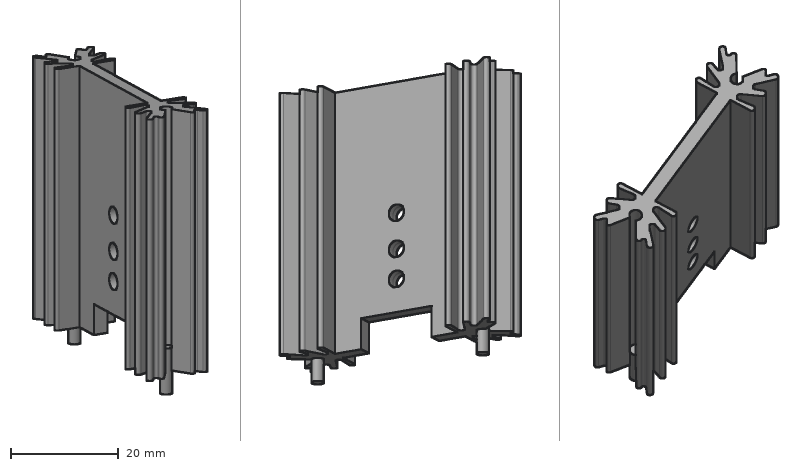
import cadquery as cq
import math

TOTAL_HEIGHT = 55.3
PIN_PROJECTION = 4.5
PIN_INSERTION = 4.5
SINK_HEIGHT = TOTAL_HEIGHT - PIN_PROJECTION
HALF_WIDTH = 22.45
HALF_DEPTH = 6.35

WEB_THICKNESS = 2.95
WEB_HALF_THICKNESS = WEB_THICKNESS / 2
WEB_HALF_LENGTH = 13.1
SCREW_HOLE_DIAMETER = 3.2
SCREW_HOLE_HEIGHTS = (12.5, 18.35, 25.4)
NOTCH_WIDTH = 15.05
NOTCH_HEIGHT = 6.05

PIN_DIAMETER = 2.3
PIN_X = 17.7

STRAIGHT_TIP_RADIUS = 0.58
TIP_RADIUS = 0.6
INNER_ROOT_RADIUS = 0.65
OUTER_ROOT_RADIUS = 0.6
FORK_ROOT_RADIUS = 0.45
LOBE_RADIUS = 0.525
TIP_Y = HALF_DEPTH - TIP_RADIUS

STRAIGHT_TIP = (WEB_HALF_LENGTH + STRAIGHT_TIP_RADIUS, HALF_DEPTH - STRAIGHT_TIP_RADIUS)
INNER_ROOT = (14.65, 2.7)
MIDDLE_TIP = (17.55, TIP_Y)
OUTER_ROOT = (18.15, 4.0)
OUTER_TIP = (HALF_WIDTH - TIP_RADIUS, TIP_Y)
FORK_ROOT = (21.7, 4.25)
LOBE = (21.75, 3.25)

ROUNDED_ENDS = [
    (STRAIGHT_TIP, STRAIGHT_TIP_RADIUS),
    (INNER_ROOT, -INNER_ROOT_RADIUS),
    (MIDDLE_TIP, TIP_RADIUS),
    (OUTER_ROOT, -OUTER_ROOT_RADIUS),
    (OUTER_TIP, TIP_RADIUS),
    (FORK_ROOT, -FORK_ROOT_RADIUS),
    (LOBE, LOBE_RADIUS),
]


def tangent_normal(start, end):
    """Angle of the left-hand normal of the straight wall tangent to two rounded ends."""
    (start_x, start_y), start_radius = start
    (end_x, end_y), end_radius = end
    dx = end_x - start_x
    dy = end_y - start_y
    return math.atan2(dy, dx) + math.acos((start_radius - end_radius) / math.hypot(dx, dy))


def point_on(center, radius, angle):
    return (center[0] + radius * math.cos(angle), center[1] + radius * math.sin(angle))


def sink_extrusion():
    """Finned bar: one quarter of the outline is drawn, then mirrored about both axes."""
    web_corner = (WEB_HALF_LENGTH, WEB_HALF_THICKNESS)
    slot_apex = (PIN_X, 0)

    outline = cq.Workplane("XY").moveTo(0, WEB_HALF_THICKNESS).lineTo(*web_corner)
    ends = [(web_corner, 0)] + ROUNDED_ENDS + [(slot_apex, 0)]
    for before, end, after in zip(ends, ends[1:], ends[2:]):
        center, radius = end
        first = tangent_normal(before, end)
        last = tangent_normal(end, after)
        turn = (last - first) % (2 * math.pi)
        if radius > 0:
            turn -= 2 * math.pi
        outline = outline.lineTo(*point_on(center, radius, first))
        outline = outline.threePointArc(
            point_on(center, radius, first + turn / 2),
            point_on(center, radius, last),
        )
    outline = outline.lineTo(*slot_apex)
    return outline.mirrorX().mirrorY().extrude(SINK_HEIGHT)


def heat_sink():
    screw_holes = (
        cq.Workplane("XZ")
        .pushPoints([(0, height) for height in SCREW_HOLE_HEIGHTS])
        .circle(SCREW_HOLE_DIAMETER / 2)
        .extrude(WEB_HALF_THICKNESS, both=True)
    )
    notch = cq.Workplane("XY").box(
        NOTCH_WIDTH, WEB_THICKNESS, NOTCH_HEIGHT, centered=(True, True, False)
    )
    pin_grooves = (
        cq.Workplane("XY")
        .pushPoints([(-PIN_X, 0), (PIN_X, 0)])
        .circle(PIN_DIAMETER / 2)
        .extrude(SINK_HEIGHT)
    )
    return sink_extrusion().cut(pin_grooves).cut(screw_holes).cut(notch)


def mounting_pin(x):
    return (
        cq.Workplane("XY", origin=(x, 0, -PIN_PROJECTION))
        .circle(PIN_DIAMETER / 2)
        .extrude(PIN_PROJECTION + PIN_INSERTION)
    )


sink = heat_sink()
pins = [mounting_pin(side * PIN_X) for side in (-1, 1)]

result = cq.Compound.makeCompound([sink.val(), *[pin.val() for pin in pins]])